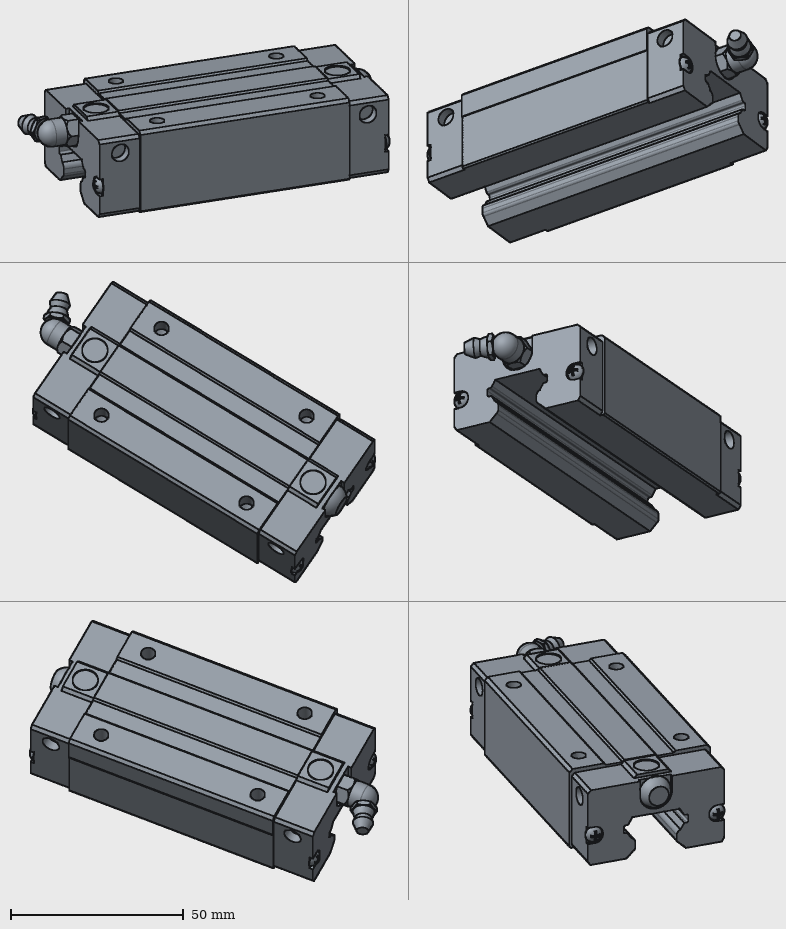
import cadquery as cq
import math


block_half_length = 32.6
cap_end = 42.5
seal_end = 45.1
recess_floor = 44.0
screw_top = 46.1
plug_end = 47.3

block_height = 25.4
block_half_width = 22.0
block_top_chamfer = 1.0
block_bottom_chamfer = 0.5
side_relief = 0.3
side_relief_top = 17.2
groove_floor_half = 5.45
groove_floor_outer = 10.6
groove_depth = 0.6

cap_half_width = 21.3
cap_height = 24.1
cap_top_chamfer = 1.0
cap_bottom_chamfer_x = 0.8
cap_bottom_chamfer_z = 1.25
strip_half_width = 4.85
strip_rise = 1.0

mount_spacing_x = 32.0
mount_spacing_y = 50.0
mount_radius = 2.1
mount_depth = 6.0
drill_tip_angle = 118.0

port_z = 19.47
top_port_radius = 3.7
top_port_y = 37.6
top_port_depth = 0.4
side_port_radius = 2.65
side_port_y = 38.6
side_port_depth = 3.0
end_recess_radius = 5.0

screw_x = 19.15
screw_z = 9.45
screw_radius = 2.6
screw_rim = 0.2
cross_length = 2.8
cross_width = 0.6
cross_depth = 1.0

plug_radius = 4.95
plug_center_y = 43.4

base_flats = 8.1
base_end = 48.05
base_embed = 0.8
base_chamfer_angle = 50.0
elbow_radius = 4.0
elbow_center_y = -51.6
nozzle_angle = 22.5
nut_flats = 6.7
nut_start = 3.4
nut_end = 5.0
nut_chamfer_angle = 30.0
nozzle_root_radius = 3.15
shoulder_at = 6.25
shoulder_radius = 2.9
neck_at = 7.3
neck_radius = 2.4
collar_at = 9.0
collar_radius = 3.0
tip_at = 11.9
tip_radius = 1.75


def extrude_along_y(profile, y_from, y_to):
    """Extrude a profile drawn in X and Z (workplane "XZ") between two Y positions."""
    return profile.extrude(y_to - y_from).translate((0, y_to, 0))


def make_block():
    h, w = block_height, block_half_width
    strip_edge = groove_floor_half - groove_depth
    pad_edge = groove_floor_outer + groove_depth
    floor = h - groove_depth
    relieved = -w + side_relief
    profile = (
        cq.Workplane("XZ")
        .moveTo(relieved + block_bottom_chamfer, 0)
        .lineTo(w - block_bottom_chamfer, 0)
        .lineTo(w, block_bottom_chamfer)
        .lineTo(w, h - block_top_chamfer)
        .lineTo(w - block_top_chamfer, h)
        .lineTo(pad_edge, h)
        .lineTo(groove_floor_outer, floor)
        .lineTo(groove_floor_half, floor)
        .lineTo(strip_edge, h)
        .lineTo(-strip_edge, h)
        .lineTo(-groove_floor_half, floor)
        .lineTo(-groove_floor_outer, floor)
        .lineTo(-pad_edge, h)
        .lineTo(-w + block_top_chamfer, h)
        .lineTo(-w, h - block_top_chamfer)
        .lineTo(-w, side_relief_top)
        .lineTo(relieved, side_relief_top)
        .lineTo(relieved, block_bottom_chamfer)
        .close()
    )
    return extrude_along_y(profile, -block_half_length, block_half_length)


def make_end_bodies():
    """Both end caps, each in one piece with its seal plate and topped by the raised middle strip."""
    h, w = cap_height, cap_half_width
    outline = (
        cq.Workplane("XZ")
        .moveTo(-w + cap_bottom_chamfer_x, 0)
        .lineTo(w - cap_bottom_chamfer_x, 0)
        .lineTo(w, cap_bottom_chamfer_z)
        .lineTo(w, h - cap_top_chamfer)
        .lineTo(w - cap_top_chamfer, h)
        .lineTo(-w + cap_top_chamfer, h)
        .lineTo(-w, h - cap_top_chamfer)
        .lineTo(-w, cap_bottom_chamfer_z)
        .close()
    )
    strip = cq.Workplane("XZ").polyline(
        [
            (-strip_half_width - strip_rise, h),
            (strip_half_width + strip_rise, h),
            (strip_half_width, h + strip_rise),
            (-strip_half_width, h + strip_rise),
        ]
    ).close()
    end = extrude_along_y(outline, block_half_length, seal_end)
    end = end.union(extrude_along_y(strip, block_half_length, cap_end))
    return [end, end.mirror("XZ")]


def rail_opening():
    right = [
        ("line", (7.4, 13.0)),
        ("line", (8.5, 11.2)),
        ("arc", (8.75, 10.9), (9.1, 10.75)),
        ("line", (9.5, 10.75)),
        ("arc", (9.92, 10.55), (10.1, 10.1)),
        ("line", (10.1, 8.8)),
        ("arc", (9.92, 8.38), (9.5, 8.2)),
        ("line", (8.8, 8.2)),
        ("line", (7.6, 6.3)),
        ("arc", (6.75, 5.65), (6.45, 4.7)),
        ("line", (6.45, 3.2)),
        ("arc", (6.6, 2.6), (7.0, 2.2)),
        ("line", (9.3, 0.0)),
    ]
    half = cq.Workplane("XZ").moveTo(0, right[0][1][1])
    for kind, *points in right:
        half = half.lineTo(*points[0]) if kind == "line" else half.threePointArc(*points)
    half = extrude_along_y(half.lineTo(0, 0).close(), -seal_end, seal_end)
    return half.union(half.mirror("YZ"))


def disc_along_y(x, z, radius, y_from, y_to):
    return extrude_along_y(cq.Workplane("XZ").center(x, z).circle(radius), y_from, y_to)


def end_recess():
    """U-shaped recess in the -Y seal plate, open at the top, around the end port."""
    rise = cap_height - port_z
    slot = cq.Workplane("XZ").center(0, port_z + rise / 2).rect(2 * end_recess_radius, rise)
    slot = extrude_along_y(slot, -seal_end, -recess_floor)
    return slot.union(disc_along_y(0, port_z, end_recess_radius, -seal_end, -recess_floor))


def screw_recess():
    """U-shaped recess in the -Y seal plate at the +X screw, open to the side."""
    reach = cap_half_width - screw_x
    slot = cq.Workplane("XZ").center(screw_x + reach / 2, screw_z).rect(reach, 2 * screw_radius)
    slot = extrude_along_y(slot, -seal_end, -recess_floor)
    return slot.union(disc_along_y(screw_x, screw_z, screw_radius, -seal_end, -recess_floor))


def screw_head():
    """Domed cross-recess head of the +X screw on the -Y seal plate."""
    rim_top = recess_floor + screw_rim
    dome = screw_top - rim_top
    dome_radius = (screw_radius**2 + dome**2) / (2 * dome)
    middle = screw_radius / 2
    middle_y = screw_top - dome_radius + math.sqrt(dome_radius**2 - middle**2)
    head = (
        cq.Workplane("XY")
        .moveTo(0, -recess_floor)
        .lineTo(screw_radius, -recess_floor)
        .lineTo(screw_radius, -rim_top)
        .threePointArc((middle, -middle_y), (0, -screw_top))
        .close()
        .revolve(360, (0, 0, 0), (0, 1, 0))
    )
    for width, height in ((cross_length, cross_width), (cross_width, cross_length)):
        arm = cq.Workplane("XZ").rect(width, height)
        head = head.cut(extrude_along_y(arm, -screw_top, -screw_top + cross_depth))
    return head.translate((screw_x, 0, screw_z))


def both_sides(shape):
    return [shape, shape.mirror("YZ")]


def four_corners(shape):
    pair = both_sides(shape)
    return pair + [one.mirror("XZ") for one in pair]


def mounting_hole():
    tip = mount_radius / math.tan(math.radians(drill_tip_angle / 2))
    floor = block_height - mount_depth
    return (
        cq.Workplane("XZ")
        .moveTo(0, block_height)
        .lineTo(mount_radius, block_height)
        .lineTo(mount_radius, floor)
        .lineTo(0, floor - tip)
        .close()
        .revolve(360, (0, 0, 0), (0, 1, 0))
        .translate((mount_spacing_x / 2, mount_spacing_y / 2, 0))
    )


def top_port():
    top = cap_height + strip_rise
    port = cq.Workplane("XY").circle(top_port_radius).extrude(-top_port_depth)
    return port.translate((0, top_port_y, top))


def side_port():
    port = cq.Workplane("YZ").circle(side_port_radius).extrude(-side_port_depth)
    return port.translate((cap_half_width, side_port_y, port_z))


def end_plug():
    """Domed plug: the part of a ball between the recess floor and a flat outer face."""
    ball = cq.Workplane("XY").sphere(plug_radius).translate((0, plug_center_y, port_z))
    return ball.intersect(disc_along_y(0, port_z, plug_radius, recess_floor, plug_end))


def chamfered_hexagon(flats, start, end, chamfer_angle):
    """Hexagon along +Z with flats facing +Y and -Y; its corners are turned down to cones at both ends."""
    corner = flats / math.sqrt(3)
    bevel = (corner - flats / 2) * math.tan(math.radians(chamfer_angle))
    prism = cq.Workplane("XY").polygon(6, 2 * corner).extrude(end - start).translate((0, 0, start))
    envelope = (
        cq.Workplane("XZ")
        .moveTo(0, start)
        .lineTo(flats / 2, start)
        .lineTo(corner, start + bevel)
        .lineTo(corner, end - bevel)
        .lineTo(flats / 2, end)
        .lineTo(0, end)
        .close()
        .revolve(360, (0, 0, 0), (0, 1, 0))
    )
    return prism.intersect(envelope)


def toward_front(shape):
    """Turn a shape built along +Z so that it runs along -Y at the height of the end port."""
    return shape.rotate((0, 0, 0), (1, 0, 0), 90).translate((0, 0, port_z))


def grease_nipple():
    base_start = recess_floor - base_embed
    base = toward_front(chamfered_hexagon(base_flats, base_start, base_end, base_chamfer_angle))
    elbow = disc_along_y(0, port_z, elbow_radius, elbow_center_y, -recess_floor)
    ball = cq.Workplane("XY").sphere(elbow_radius).translate((0, elbow_center_y, port_z))
    nut = chamfered_hexagon(nut_flats, nut_start, nut_end, nut_chamfer_angle)
    nozzle = (
        cq.Workplane("XZ")
        .moveTo(0, nut_start)
        .lineTo(nozzle_root_radius, nut_start)
        .lineTo(nozzle_root_radius, nut_end)
        .threePointArc((shoulder_radius, shoulder_at), (neck_radius, neck_at))
        .lineTo(collar_radius, collar_at)
        .lineTo(tip_radius, tip_at)
        .lineTo(0, tip_at)
        .close()
        .revolve(360, (0, 0, 0), (0, 1, 0))
    )
    nozzle = nozzle.union(nut)
    nozzle = nozzle.rotate((0, 0, 0), (1, 0, 0), 90)
    nozzle = nozzle.rotate((0, 0, 0), (0, 0, 1), nozzle_angle - 90)
    nozzle = nozzle.translate((0, elbow_center_y, port_z))
    return base.union(elbow).union(ball).union(nozzle)


result = make_block()
for body in make_end_bodies():
    result = result.union(body)

cuts = [rail_opening(), end_recess(), end_recess().mirror("XZ"), top_port(), top_port().mirror("XZ")]
cuts += four_corners(screw_recess())
cuts += four_corners(mounting_hole())
cuts += four_corners(side_port())
for cut in cuts:
    result = result.cut(cut)

for attachment in four_corners(screw_head()) + [end_plug(), grease_nipple()]:
    result = result.union(attachment)